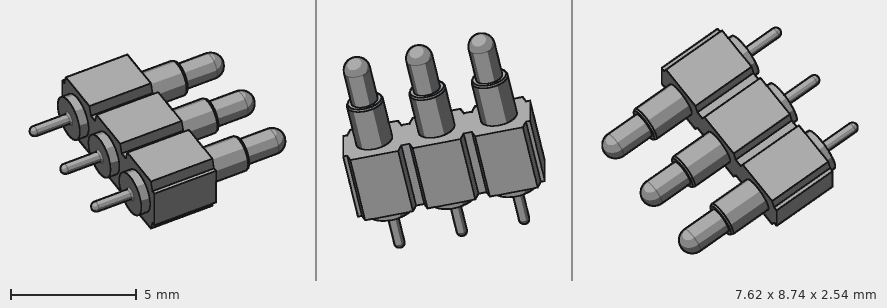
import cadquery as cq

pin_count = 3
row_length = 7.62
overall_length = 8.74
pitch = row_length / pin_count

housing_length = 2.8
housing_height = pitch
notch_depth = 0.42
notch_floor_half_width = 0.17
notch_mouth_half_width = 0.3

plunger_diameter = 1.075
barrel_diameter = 1.48
flange_diameter = 1.83
tail_diameter = 0.43

flange_thickness = 0.4
tail_length = 1.76
barrel_length = 1.835
barrel_chamfer_length = 0.09
barrel_chamfer_inset = 0.05
tail_fillet_radius = 0.08

tail_tip_y = -flange_thickness - tail_length
plunger_tip_y = tail_tip_y + overall_length
barrel_end_y = housing_length + barrel_length

pin_places = [(i - (pin_count - 1) / 2) * pitch for i in range(pin_count)]
notch_places = [i * pitch - row_length / 2 for i in range(pin_count + 1)]


def extrude_through_housing(sketch):
    """Extrude an XZ sketch from Y = 0 to the far face of the housing."""
    return sketch.extrude(-housing_length)


def make_notch(x, side):
    """Tapered notch centred on x, in the top (side = 1) or bottom (side = -1) face."""
    mouth_z = side * housing_height / 2
    floor_z = side * (housing_height / 2 - notch_depth)
    outline = (
        cq.Workplane("XZ")
        .moveTo(x - notch_mouth_half_width, mouth_z)
        .lineTo(x - notch_floor_half_width, floor_z)
        .lineTo(x + notch_floor_half_width, floor_z)
        .lineTo(x + notch_mouth_half_width, mouth_z)
        .close()
    )
    return extrude_through_housing(outline)


def make_housing():
    """Notched bar with one barrel hole per cell; the end notches are cut in half by the ends."""
    body = extrude_through_housing(cq.Workplane("XZ").rect(row_length, housing_height))
    for x in notch_places:
        for side in (1, -1):
            body = body.cut(make_notch(x, side))
    hole_centres = [(x, 0) for x in pin_places]
    holes = cq.Workplane("XZ").pushPoints(hole_centres).circle(barrel_diameter / 2)
    return body.cut(extrude_through_housing(holes))


def make_pin(x):
    """Spring pin turned about its axis: domed tail, flange, barrel and domed plunger."""
    tail_radius = tail_diameter / 2
    flange_radius = flange_diameter / 2
    barrel_radius = barrel_diameter / 2
    plunger_radius = plunger_diameter / 2
    profile = (
        cq.Workplane("XY")
        .moveTo(0, tail_tip_y)
        .radiusArc((tail_radius, tail_tip_y + tail_radius), -tail_radius)
        .lineTo(tail_radius, -flange_thickness - tail_fillet_radius)
        .radiusArc((tail_radius + tail_fillet_radius, -flange_thickness), tail_fillet_radius)
        .lineTo(flange_radius, -flange_thickness)
        .lineTo(flange_radius, 0)
        .lineTo(barrel_radius, 0)
        .lineTo(barrel_radius, barrel_end_y - barrel_chamfer_length)
        .lineTo(barrel_radius - barrel_chamfer_inset, barrel_end_y)
        .lineTo(plunger_radius, barrel_end_y)
        .lineTo(plunger_radius, plunger_tip_y - plunger_radius)
        .radiusArc((0, plunger_tip_y), -plunger_radius)
        .close()
    )
    return profile.revolve(360, (0, 0, 0), (0, 1, 0)).translate((x, 0, 0))


housing = make_housing()
pins = [make_pin(x) for x in pin_places]

result = cq.Compound.makeCompound([housing.val(), *[pin.val() for pin in pins]])